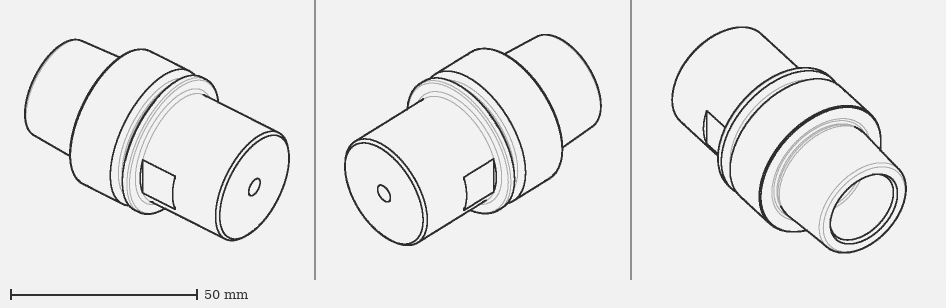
import cadquery as cq
import math


SHANK_LENGTH = 20.0
GAUGE_RADIUS = 15.0
GAUGE_X = -4.0
TAPER_SLOPE = 1 / 20
NOSE_ROUND = 0.8

UNDERCUT_X = -1.9
NECK_RADIUS = 14.9
NECK_START_X = -1.0
NECK_ROUND = 0.6
FACE_RELIEF = 0.1
FACE_RELIEF_RADIUS = 16.2

FLANGE_RADIUS = 20.0
FLANGE_LENGTH = 20.0
FLANGE_CHAMFER_LENGTH = 0.4
FLANGE_CHAMFER_DEPTH = 0.25
FLANGE_REAR_ROUND = 0.5
GROOVE_X = 16.0
GROOVE_RADIUS = 17.4
GROOVE_FLOOR_WIDTH = 0.4
GROOVE_ROUND = 0.92
GROOVE_WALL_ANGLE = math.radians(64)

BODY_RADIUS = 16.0
BODY_END_X = 47.4
BODY_CHAMFER = 0.8
BODY_FILLET = 0.95

FLAT_START_X = 21.0
FLAT_LENGTH = 11.0
FLAT_DISTANCE = 14.9

MOUTH_RADIUS = 11.05
BORE_RADIUS = 10.45
MOUTH_CHAMFER_ANGLE = math.radians(30)
BORE_DEPTH = 15.5
BORE_ROUND = 0.5
STEP_MOUTH_RADIUS = 5.95
STEP_RADIUS = 5.45
STEP_CHAMFER_ANGLE = math.radians(30)
STEP_DEPTH = 4.0
HOLE_RADIUS = 2.5


def taper_radius(x):
    return GAUGE_RADIUS + TAPER_SLOPE * (x - GAUGE_X)


def arc_point(center, radius, angle):
    return (center[0] + radius * math.cos(angle), center[1] + radius * math.sin(angle))


def make_outside():
    """Revolve the outer outline of shank, flange and body about X."""
    nose_x = -SHANK_LENGTH
    nose_end_x = nose_x + NOSE_ROUND
    nose_center = (nose_end_x, taper_radius(nose_end_x) - NOSE_ROUND)

    neck_center = (FACE_RELIEF - NECK_ROUND, NECK_RADIUS + NECK_ROUND)

    wall_angle = GROOVE_WALL_ANGLE
    floor_left = (GROOVE_X - GROOVE_FLOOR_WIDTH / 2, GROOVE_RADIUS)
    floor_right = (GROOVE_X + GROOVE_FLOOR_WIDTH / 2, GROOVE_RADIUS)
    round_height = GROOVE_RADIUS + GROOVE_ROUND
    left_center = (floor_left[0], round_height)
    right_center = (floor_right[0], round_height)
    down = -math.pi / 2
    wall_foot_left = arc_point(left_center, GROOVE_ROUND, down - wall_angle)
    wall_foot_right = arc_point(right_center, GROOVE_ROUND, down + wall_angle)
    wall_run = (FLANGE_RADIUS - wall_foot_left[1]) / math.tan(wall_angle)

    rear_center = (FLANGE_LENGTH - FLANGE_REAR_ROUND, FLANGE_RADIUS - FLANGE_REAR_ROUND)
    fillet_center = (FLANGE_LENGTH + BODY_FILLET, BODY_RADIUS + BODY_FILLET)

    outline = (
        cq.Workplane("XY")
        .moveTo(nose_x, 0)
        .lineTo(nose_x, nose_center[1])
        .threePointArc(
            arc_point(nose_center, NOSE_ROUND, math.radians(135)),
            (nose_end_x, taper_radius(nose_end_x)),
        )
        .lineTo(UNDERCUT_X, taper_radius(UNDERCUT_X))
        .lineTo(NECK_START_X, NECK_RADIUS)
        .lineTo(neck_center[0], NECK_RADIUS)
        .threePointArc(
            arc_point(neck_center, NECK_ROUND, math.radians(-45)),
            (FACE_RELIEF, neck_center[1]),
        )
        .lineTo(0, FACE_RELIEF_RADIUS)
        .lineTo(0, FLANGE_RADIUS - FLANGE_CHAMFER_DEPTH)
        .lineTo(FLANGE_CHAMFER_LENGTH, FLANGE_RADIUS)
        .lineTo(wall_foot_left[0] - wall_run, FLANGE_RADIUS)
        .lineTo(*wall_foot_left)
        .threePointArc(arc_point(left_center, GROOVE_ROUND, down - wall_angle / 2), floor_left)
        .lineTo(*floor_right)
        .threePointArc(arc_point(right_center, GROOVE_ROUND, down + wall_angle / 2), wall_foot_right)
        .lineTo(wall_foot_right[0] + wall_run, FLANGE_RADIUS)
        .lineTo(rear_center[0], FLANGE_RADIUS)
        .threePointArc(
            arc_point(rear_center, FLANGE_REAR_ROUND, math.radians(45)),
            (FLANGE_LENGTH, rear_center[1]),
        )
        .lineTo(FLANGE_LENGTH, fillet_center[1])
        .threePointArc(
            arc_point(fillet_center, BODY_FILLET, math.radians(-135)),
            (fillet_center[0], BODY_RADIUS),
        )
        .lineTo(BODY_END_X - BODY_CHAMFER, BODY_RADIUS)
        .lineTo(BODY_END_X, BODY_RADIUS - BODY_CHAMFER)
        .lineTo(BODY_END_X, 0)
        .close()
    )
    return outline.revolve(360, (0, 0, 0), (1, 0, 0))


def make_bore():
    """Revolve the stepped bore, open at the shank end and drilled through the body."""
    mouth_x = -SHANK_LENGTH
    mouth_run = (MOUTH_RADIUS - BORE_RADIUS) / math.tan(MOUTH_CHAMFER_ANGLE)
    floor_x = mouth_x + BORE_DEPTH
    step_run = (STEP_MOUTH_RADIUS - STEP_RADIUS) / math.tan(STEP_CHAMFER_ANGLE)
    step_floor_x = floor_x + STEP_DEPTH
    round_center = (floor_x - BORE_ROUND, BORE_RADIUS - BORE_ROUND)

    outline = (
        cq.Workplane("XY")
        .moveTo(mouth_x, 0)
        .lineTo(mouth_x, MOUTH_RADIUS)
        .lineTo(mouth_x + mouth_run, BORE_RADIUS)
        .lineTo(round_center[0], BORE_RADIUS)
        .threePointArc(
            arc_point(round_center, BORE_ROUND, math.radians(45)),
            (floor_x, round_center[1]),
        )
        .lineTo(floor_x, STEP_MOUTH_RADIUS)
        .lineTo(floor_x + step_run, STEP_RADIUS)
        .lineTo(step_floor_x, STEP_RADIUS)
        .lineTo(step_floor_x, HOLE_RADIUS)
        .lineTo(BODY_END_X, HOLE_RADIUS)
        .lineTo(BODY_END_X, 0)
        .close()
    )
    return outline.revolve(360, (0, 0, 0), (1, 0, 0))


def make_flat_cutter(side):
    """Block that cuts one wrench flat on the given side (+1 or -1) along Y."""
    cut_depth = FLANGE_RADIUS - FLAT_DISTANCE
    return cq.Workplane("XY").box(FLAT_LENGTH, cut_depth, 2 * FLANGE_RADIUS).translate(
        (FLAT_START_X + FLAT_LENGTH / 2, side * (FLAT_DISTANCE + cut_depth / 2), 0)
    )


result = make_outside().cut(make_bore())
for side in (-1, 1):
    result = result.cut(make_flat_cutter(side))